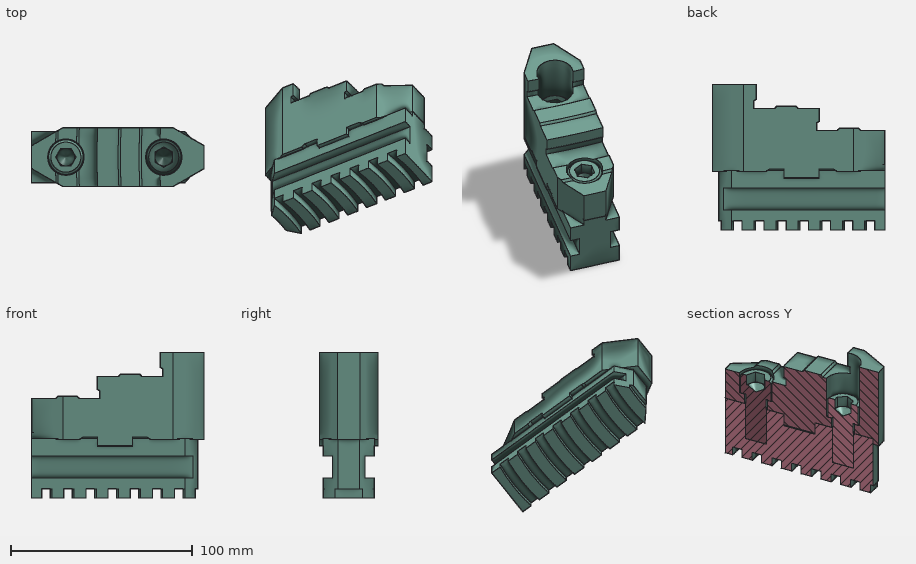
import cadquery as cq
import math


base_length = 91.8
base_width = 28.3
base_top = 32.8
end_chamfer_x = 7.2
end_chamfer_y = 8.2
guide_bottom = 11.1
guide_top = 23.0
waist_width = 17.9
ridge_width = 12.7
ridge_top = 36.0

tooth_height = 5.0
tooth_pitch = 12.2
tooth_gap_start = 5.8
tooth_gap_width = 5.6
tooth_radius = 93.3
tooth_gap_count = 8

key_start = 36.6
key_width = 19.0
key_end = key_start + key_width
key_bottom = 28.8
slot_floor = 28.5

jaw_start = 0.2
jaw_end = 95.2
jaw_width = 32.5
jaw_end_width = 12.7
jaw_facet_length = 17.1
jaw_bottom = 32.2
jaw_top = 80.3
relief_top = 33.5
relief_length = 8.5
relief_slope_length = 2.1

step_axis_x = 380.9
step_sector = 12.0
low_level = 54.9
middle_level = 67.0
low_step_x = 36.2
high_step_x = 70.75
undercut_depth = 1.3
undercut_height = 4.1
undercut_slope = 0.8
pad_rise = 1.2
pad_width = 12.8
low_pad_start = 13.3
middle_pad_start = 47.8

screw_places = [(19.0, 0.0), (72.9, 90.0)]
counterbore_diameter = 20.0
clearance_diameter = 14.0
shank_diameter = 12.7
shank_bottom = 13.3
head_diameter = 19.0
head_top = 54.75
head_height = 12.7
head_bottom = head_top - head_height
head_chamfer = 1.2
hex_flats = 9.7
hex_depth = 6.3
drill_point_depth = 3.0


def block(x_start, x_end, width, z_start, z_end):
    """Box centred on Y = 0."""
    return (
        cq.Workplane("XY", origin=((x_start + x_end) / 2, 0, z_start))
        .rect(x_end - x_start, width)
        .extrude(z_end - z_start)
    )


def cylinder(x, diameter, z_start, z_end):
    """Upright cylinder on the middle plane."""
    return cq.Workplane("XY", origin=(x, 0, z_start)).circle(diameter / 2).extrude(z_end - z_start)


def make_tooth_gap(start):
    """Gap between two teeth, bounded by two equal arcs that bulge towards -X."""
    half_width = base_width / 2
    bulge = tooth_radius - math.sqrt(tooth_radius**2 - half_width**2)
    end = start + tooth_gap_width
    return (
        cq.Workplane("XY")
        .moveTo(start, -half_width)
        .threePointArc((start - bulge, 0), (start, half_width))
        .lineTo(end, half_width)
        .threePointArc((end - bulge, 0), (end, -half_width))
        .close()
        .extrude(tooth_height)
    )


def make_base_body():
    """Base jaw before its screw holes are drilled."""
    half_width = base_width / 2
    chamfer_start = base_length - end_chamfer_x
    chamfered_half = half_width - end_chamfer_y
    outline = [
        (0, -half_width),
        (chamfer_start, -half_width),
        (base_length, -chamfered_half),
        (base_length, chamfered_half),
        (chamfer_start, half_width),
        (0, half_width),
    ]
    body = cq.Workplane("XY").polyline(outline).close().extrude(base_top)

    guides = block(0, base_length, base_width, guide_bottom, guide_top)
    waist = block(0, base_length, waist_width, guide_bottom, guide_top)
    body = body.cut(guides.cut(waist))

    body = body.union(block(0, base_length, ridge_width, base_top, ridge_top))
    body = body.cut(block(key_start, key_end, base_width, slot_floor, ridge_top))

    for index in range(tooth_gap_count):
        body = body.cut(make_tooth_gap(tooth_gap_start + index * tooth_pitch))
    return body


def make_step_clearance():
    """Space above the steps, swept about the upright axis of the gripping arcs."""

    def pad_points(start, level):
        return [
            (start, level),
            (start + pad_rise, level + pad_rise),
            (start + pad_width - pad_rise, level + pad_rise),
            (start + pad_width, level),
        ]

    def riser_points(x, level, upper_level):
        return [
            (x + undercut_depth, level),
            (x + undercut_depth, level + undercut_height),
            (x, level + undercut_height + undercut_slope),
            (x, upper_level),
        ]

    clear_start = -jaw_width
    profile = [
        (clear_start, low_level),
        *pad_points(low_pad_start, low_level),
        *riser_points(low_step_x, low_level, middle_level),
        *pad_points(middle_pad_start, middle_level),
        *riser_points(high_step_x, middle_level, jaw_top),
        (clear_start, jaw_top),
    ]
    swept = (
        cq.Workplane("XZ")
        .polyline(profile)
        .close()
        .revolve(step_sector, (step_axis_x, 0, 0), (step_axis_x, 1, 0))
    )
    return swept.rotate((step_axis_x, 0, 0), (step_axis_x, 0, 1), -step_sector / 2)


def make_underside_relief(key_side, direction):
    """Shallow relief beside the cross key, sloping out to the jaw bottom."""
    inner = key_side + direction * relief_length
    outer = inner + direction * relief_slope_length
    points = [(key_side, jaw_bottom), (key_side, relief_top), (inner, relief_top), (outer, jaw_bottom)]
    return cq.Workplane("XZ").polyline(points).close().extrude(jaw_width / 2, both=True)


def make_top_jaw(base_body):
    half_width = jaw_width / 2
    half_end = jaw_end_width / 2
    facet_start = jaw_start + jaw_facet_length
    facet_end = jaw_end - jaw_facet_length
    outline = [
        (jaw_start, -half_end),
        (facet_start, -half_width),
        (facet_end, -half_width),
        (jaw_end, -half_end),
        (jaw_end, half_end),
        (facet_end, half_width),
        (facet_start, half_width),
        (jaw_start, half_end),
    ]
    body = (
        cq.Workplane("XY", origin=(0, 0, jaw_bottom))
        .polyline(outline)
        .close()
        .extrude(jaw_top - jaw_bottom)
    )
    body = body.cut(make_step_clearance())
    body = body.cut(make_underside_relief(key_start, -0.95))
    body = body.cut(make_underside_relief(key_end, 0.95))
    body = body.union(block(key_start, key_end, jaw_width, key_bottom, relief_top))

    body = body.cut(base_body)

    for x, _ in screw_places:
        body = body.cut(cylinder(x, counterbore_diameter, head_bottom, jaw_top))
        body = body.cut(cylinder(x, clearance_diameter, jaw_bottom, head_bottom))
    return body


def make_base_jaw(base_body):
    body = base_body
    for x, _ in screw_places:
        body = body.cut(cylinder(x, shank_diameter, shank_bottom, ridge_top))
    return body


def make_screw(x, hex_turn):
    head = cylinder(x, head_diameter, head_bottom, head_top).faces(">Z").chamfer(head_chamfer)
    screw = head.union(cylinder(x, shank_diameter, shank_bottom, head_bottom))

    hex_floor = head_top - hex_depth
    hex_corners = hex_flats / math.cos(math.radians(30))
    socket = (
        cq.Workplane("XY", origin=(x, 0, hex_floor))
        .transformed(rotate=(0, 0, hex_turn))
        .polygon(6, hex_corners)
        .extrude(hex_depth)
    )
    drill_point = cq.Workplane(
        cq.Solid.makeCone(
            hex_flats / 2, 0, drill_point_depth, cq.Vector(x, 0, hex_floor), cq.Vector(0, 0, -1)
        )
    )
    return screw.cut(socket).cut(drill_point)


base_body = make_base_body()
base_jaw = make_base_jaw(base_body)
top_jaw = make_top_jaw(base_body)
screws = [make_screw(x, turn) for x, turn in screw_places]

result = cq.Compound.makeCompound([base_jaw.val(), top_jaw.val(), *[screw.val() for screw in screws]])